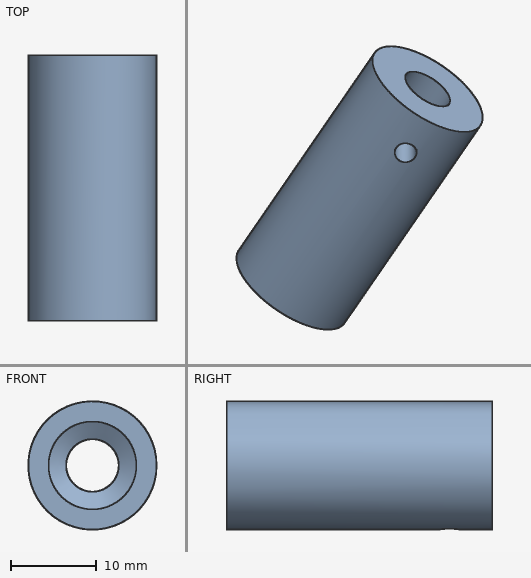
import cadquery as cq
import math

length = 31.0
outer_diameter = 15.0
wide_bore_diameter = 10.25
narrow_bore_diameter = 6.1
wide_bore_depth = 18.6
cone_angle = 118.0

side_hole_diameter = 2.55
side_hole_from_back = 5.0

wide_radius = wide_bore_diameter / 2
narrow_radius = narrow_bore_diameter / 2
cone_length = (wide_radius - narrow_radius) / math.tan(math.radians(cone_angle / 2))
front_y = -length / 2
back_y = length / 2
cone_start_y = front_y + wide_bore_depth
cone_end_y = cone_start_y + cone_length

body = (
    cq.Workplane("XZ", origin=(0, front_y, 0))
    .circle(outer_diameter / 2)
    .extrude(-length)
)

bore = (
    cq.Workplane("XY")
    .moveTo(0, front_y)
    .lineTo(wide_radius, front_y)
    .lineTo(wide_radius, cone_start_y)
    .lineTo(narrow_radius, cone_end_y)
    .lineTo(narrow_radius, back_y)
    .lineTo(0, back_y)
    .close()
    .revolve(360, (0, 0, 0), (0, 1, 0))
)

side_hole = (
    cq.Workplane("XY")
    .center(0, back_y - side_hole_from_back)
    .circle(side_hole_diameter / 2)
    .extrude(-outer_diameter)
)

result = body.cut(bore).cut(side_hole)